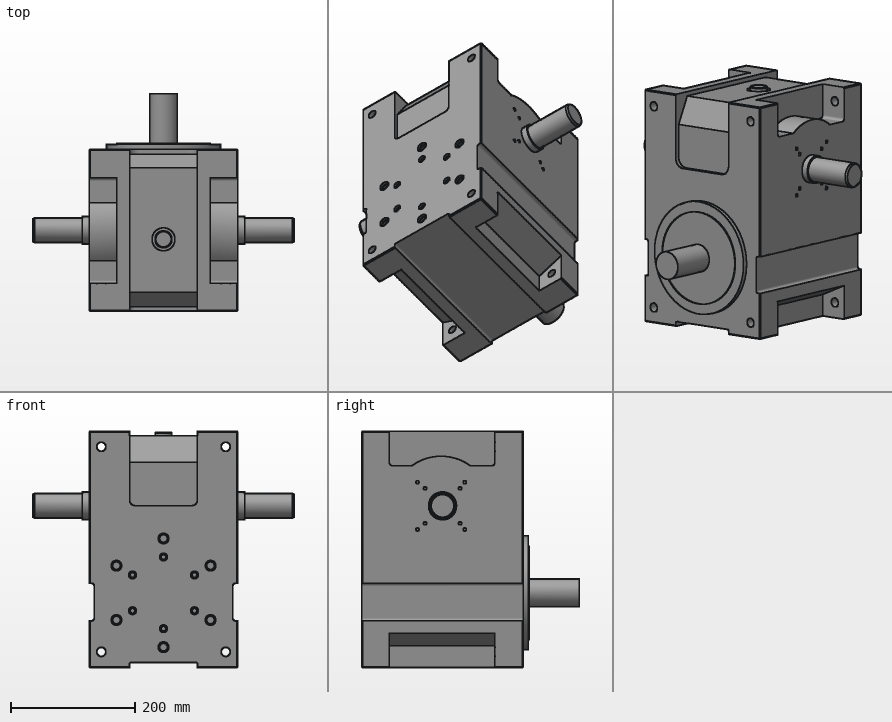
import cadquery as cq
import math


input_shaft_length = 420.0
body_width = 239.0
body_depth = 260.0
body_height = 380.0
total_depth = 350.0
body_edge_chamfer = 1.5
half_width = body_width / 2
mid_depth = body_depth / 2

slot_width = 109.0
slot_floor_z = 260.5
front_slot_depth = 7.0
rear_slot_depth = 7.5
front_slot_corner = 9.0
rear_slot_corner = 15.5
block_top_z = 373.0
block_shoulder_z = 329.5
front_bevel_run = 23.5
rear_bevel_run = 22.0

pocket_start_y = 44.5
pocket_end_y = 214.0
pocket_depth = 44.5
upper_pocket_floor_z = 324.5
upper_pocket_corner = 5.0
hub_radius = 80.0
hub_centre_y = 127.5
lower_pocket_outer_z = 55.5
lower_pocket_inner_z = 35.3

groove_depth = 8.0
side_groove_bottom_z = 75.0
side_groove_top_z = 135.2
side_groove_corner = 4.0
base_groove_corner = 2.5

mount_hole_diameter = 14.3
mount_hole_x = 100.0
mount_hole_edge = 25.0

input_axis_z = 260.0
input_diameter = 40.0
collar_diameter = 45.0
collar_length = 11.0
shaft_chamfer_length = 3.5
shaft_chamfer_depth = 1.5
inner_bearing_hole_spacing = 56.3
outer_bearing_hole_spacing = 76.0
bearing_hole_diameter = 5.0
bearing_hole_depth = 6.5

output_axis_z = 120.0
output_diameter = 45.0
flange_diameter = 184.0
flange_thickness = 8.0
flange_pad_diameter = 150.5
flange_pad_height = 1.5

cover_screw_count = 6
outer_screw_circle_radius = 87.5
outer_screw_head_diameter = 17.0
outer_screw_bore_diameter = 12.5
inner_screw_circle_radius = 57.5
inner_screw_head_diameter = 12.0
inner_screw_bore_diameter = 8.0
screw_head_depth = 4.0
screw_bore_depth = 8.5

plug_y = 115.5
plug_recess_diameter = 37.0
plug_recess_depth = 3.5
plug_diameter = 27.5
plug_top_z = 378.0
plug_chamfer = 1.3


def box(x_range, y_range, z_range):
    (x0, x1), (y0, y1), (z0, z1) = x_range, y_range, z_range
    return cq.Workplane("XY").box(x1 - x0, y1 - y0, z1 - z0, centered=False).translate((x0, y0, z0))


def both_sides(shape):
    return shape.union(shape.mirror("YZ"))


def cylinder_along_y(diameter, y_start, y_end, x, z):
    start = cq.Vector(x, y_start, z)
    return cq.Workplane(cq.Solid.makeCylinder(diameter / 2, y_end - y_start, start, cq.Vector(0, 1, 0)))


def cylinder_along_x(diameter, x_start, x_end, y, z):
    start = cq.Vector(x_start, y, z)
    return cq.Workplane(cq.Solid.makeCylinder(diameter / 2, x_end - x_start, start, cq.Vector(1, 0, 0)))


def body_block():
    block = box((-half_width, half_width), (0, body_depth), (0, body_height))
    return block.edges().chamfer(body_edge_chamfer)


def slot_recess(y_start, y_end, corner):
    recess = box((-slot_width / 2, slot_width / 2), (y_start, y_end), (slot_floor_z, body_height))
    return recess.edges("|Y and <Z").fillet(corner)


def space_over_centre_block():
    front_y = front_slot_depth
    rear_y = body_depth - rear_slot_depth
    profile = [
        (front_y, block_shoulder_z),
        (front_y + front_bevel_run, block_top_z),
        (rear_y - rear_bevel_run, block_top_z),
        (rear_y, block_shoulder_z),
        (rear_y, body_height),
        (front_y, body_height),
    ]
    return cq.Workplane("YZ").polyline(profile).close().extrude(slot_width / 2, both=True)


def upper_pocket():
    pocket = box(
        (half_width - pocket_depth, half_width),
        (pocket_start_y, pocket_end_y),
        (upper_pocket_floor_z, body_height),
    )
    pocket = pocket.edges("|X and <Z").fillet(upper_pocket_corner)
    hub = cylinder_along_x(2 * hub_radius, 0, half_width, hub_centre_y, input_axis_z)
    return both_sides(pocket.cut(hub))


def lower_pocket():
    inner_x = half_width - pocket_depth
    profile = [
        (inner_x, 0),
        (half_width, 0),
        (half_width, lower_pocket_outer_z),
        (inner_x, lower_pocket_inner_z),
    ]
    pocket = cq.Workplane("XZ", origin=(0, pocket_start_y, 0)).polyline(profile).close()
    return both_sides(pocket.extrude(pocket_start_y - pocket_end_y))


def side_grooves():
    groove = box(
        (half_width - groove_depth, half_width),
        (0, body_depth),
        (side_groove_bottom_z, side_groove_top_z),
    )
    return both_sides(groove.edges("|Y and <X").fillet(side_groove_corner))


def base_groove():
    groove = box((-slot_width / 2, slot_width / 2), (0, body_depth), (0, groove_depth))
    return groove.edges("|Y and >Z").fillet(base_groove_corner)


def mount_holes():
    holes = cq.Workplane("XY")
    for x in (-mount_hole_x, mount_hole_x):
        for z in (mount_hole_edge, body_height - mount_hole_edge):
            holes = holes.add(cylinder_along_y(mount_hole_diameter, 0, body_depth, x, z))
    return holes.combine()


def cover_screw_holes(circle_radius, head_diameter, bore_diameter):
    holes = cq.Workplane("XY")
    for i in range(cover_screw_count):
        angle = math.pi / 2 + i * 2 * math.pi / cover_screw_count
        x = circle_radius * math.cos(angle)
        z = output_axis_z + circle_radius * math.sin(angle)
        holes = holes.add(cylinder_along_y(head_diameter, 0, screw_head_depth, x, z))
        holes = holes.add(cylinder_along_y(bore_diameter, 0, screw_bore_depth, x, z))
    return holes.combine()


def bearing_cover_holes(centre_y, spacing):
    holes = cq.Workplane("XY")
    for y in (centre_y - spacing / 2, centre_y + spacing / 2):
        for z in (input_axis_z - spacing / 2, input_axis_z + spacing / 2):
            holes = holes.add(
                cylinder_along_x(bearing_hole_diameter, half_width - bearing_hole_depth, half_width, y, z)
            )
    return both_sides(holes.combine())


def input_shaft():
    radius = input_diameter / 2
    collar_radius = collar_diameter / 2
    end_x = input_shaft_length / 2
    collar_x = half_width + collar_length
    half_profile = [
        (0, 0),
        (end_x, 0),
        (end_x, radius - shaft_chamfer_depth),
        (end_x - shaft_chamfer_length, radius),
        (collar_x, radius),
        (collar_x, collar_radius),
        (0, collar_radius),
    ]
    half_shaft = cq.Workplane("XY").polyline(half_profile).close().revolve(360, (0, 0, 0), (1, 0, 0))
    return both_sides(half_shaft).translate((0, mid_depth, input_axis_z))


def output_shaft_and_flange():
    flange_y = body_depth + flange_thickness
    pad_y = flange_y + flange_pad_height
    flange = cylinder_along_y(flange_diameter, mid_depth, flange_y, 0, output_axis_z)
    pad = cylinder_along_y(flange_pad_diameter, mid_depth, pad_y, 0, output_axis_z)
    shaft = cylinder_along_y(output_diameter, mid_depth, total_depth, 0, output_axis_z)
    return flange.union(pad).union(shaft)


def plug_recess():
    floor_z = block_top_z - plug_recess_depth
    ring = cq.Workplane("XY", origin=(0, plug_y, floor_z)).circle(plug_recess_diameter / 2)
    return ring.extrude(plug_recess_depth)


def plug():
    floor_z = block_top_z - plug_recess_depth
    disc = cq.Workplane("XY", origin=(0, plug_y, floor_z)).circle(plug_diameter / 2)
    return disc.extrude(plug_top_z - floor_z).edges(">Z").chamfer(plug_chamfer)


result = body_block()
result = result.cut(slot_recess(0, front_slot_depth, front_slot_corner))
result = result.cut(slot_recess(body_depth - rear_slot_depth, body_depth, rear_slot_corner))
result = result.cut(space_over_centre_block())
result = result.cut(upper_pocket()).cut(lower_pocket())
result = result.cut(side_grooves()).cut(base_groove())

result = result.cut(mount_holes())
result = result.cut(
    cover_screw_holes(outer_screw_circle_radius, outer_screw_head_diameter, outer_screw_bore_diameter)
)
result = result.cut(
    cover_screw_holes(inner_screw_circle_radius, inner_screw_head_diameter, inner_screw_bore_diameter)
)
result = result.cut(bearing_cover_holes(mid_depth, inner_bearing_hole_spacing))
result = result.cut(bearing_cover_holes(hub_centre_y, outer_bearing_hole_spacing))
result = result.cut(plug_recess()).union(plug())

result = result.union(input_shaft()).union(output_shaft_and_flange())